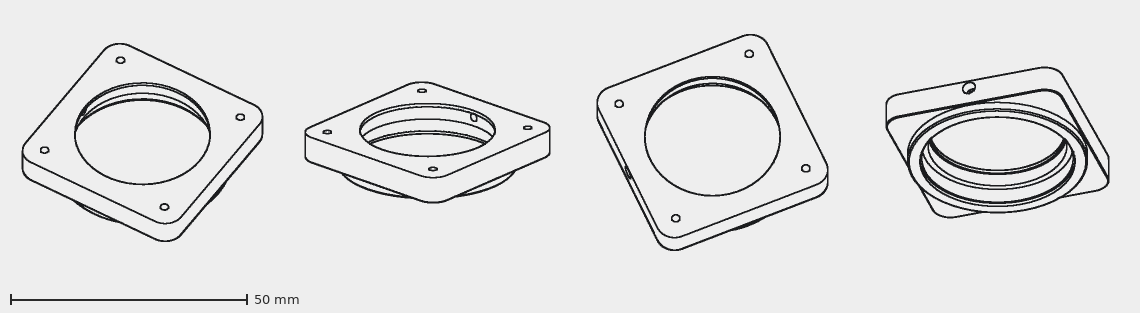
import cadquery as cq

side = 39.0
total_height = 7.88

spigot_height = 2.0
plate_height = total_height - spigot_height
corner_radius = 3.98
plate_chamfer = 0.2

spigot_diameter = 38.05
spigot_chamfer = 0.3

bore_steps = [
    (28.63, 0.78),
    (29.4, 3.75),
    (32.05, 7.05),
    (32.85, total_height),
]

screw_hole_diameter = 1.7
screw_hole_spacing = 30.03
screw_hole_depth = 3.9

side_hole_diameter = 1.75
side_counterbore_diameter = 2.75
side_counterbore_depth = 2.5
side_hole_drop = 1.8


def make_plate():
    plate = cq.Workplane("XY").workplane(offset=spigot_height).rect(side, side).extrude(plate_height)
    plate = plate.edges("|Z").fillet(corner_radius)
    return plate.faces("<Z").edges().chamfer(plate_chamfer)


def make_spigot():
    spigot = cq.Workplane("XY").circle(spigot_diameter / 2).extrude(spigot_height)
    return spigot.faces("<Z").edges().chamfer(spigot_chamfer)


def make_stepped_bore():
    bore = cq.Workplane("XY")
    upper_depth = 0.0
    for diameter, lower_depth in bore_steps:
        step = (
            cq.Workplane("XY")
            .workplane(offset=total_height - lower_depth)
            .circle(diameter / 2)
            .extrude(lower_depth - upper_depth)
        )
        bore = bore.add(step)
        upper_depth = lower_depth
    return bore.combine()


def make_screw_holes():
    return (
        cq.Workplane("XY")
        .workplane(offset=total_height - screw_hole_depth)
        .rect(screw_hole_spacing, screw_hole_spacing, forConstruction=True)
        .vertices()
        .circle(screw_hole_diameter / 2)
        .extrude(screw_hole_depth)
    )


def make_side_hole():
    entry = cq.Workplane("YZ", origin=(-side / 2, 0, total_height - side_hole_drop))
    drill = entry.circle(side_hole_diameter / 2).extrude(side / 2)
    counterbore = entry.circle(side_counterbore_diameter / 2).extrude(side_counterbore_depth)
    return drill.union(counterbore)


result = (
    make_plate()
    .union(make_spigot())
    .cut(make_stepped_bore())
    .cut(make_screw_holes())
    .cut(make_side_hole())
)